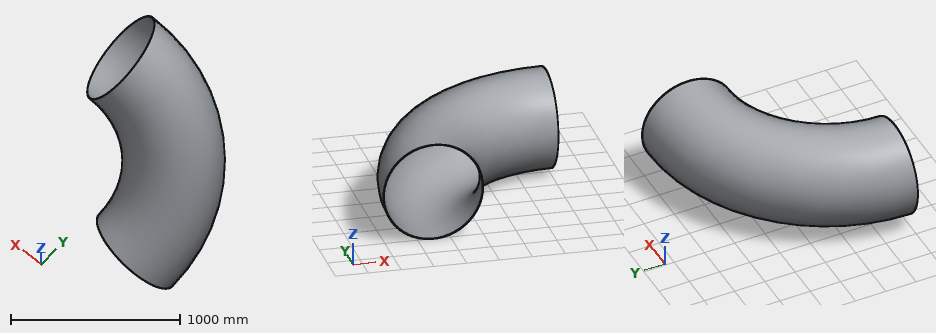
import cadquery as cq

overall_size = 1219.0
outer_diameter = 610.0
wall = 5.0
bend_angle = 90.0

outer_radius = outer_diameter / 2
inner_radius = outer_radius - wall
bend_radius = overall_size - outer_radius

pipe_section = (
    cq.Workplane("XZ")
    .center(-bend_radius, 0)
    .circle(outer_radius)
    .circle(inner_radius)
)

axis_start = (bend_radius, 0)
axis_end = (bend_radius, -1)

result = pipe_section.revolve(bend_angle, axis_start, axis_end)